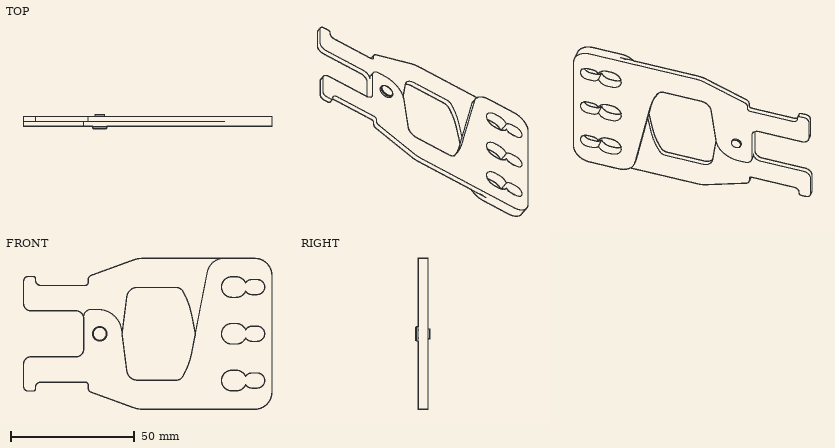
import cadquery as cq
import math

PLATE_THICKNESS = 2.0
LENGTH = 101.0
HALF_HEIGHT = 30.7
BODY_RADIUS = 7.1

FINGER_INNER_Z = -9.3
FINGER_OUTER_Z = -19.7
HOOK_TIP_Z = -23.3
HOOK_WIDTH = 4.9
FINGER_RADIUS = 3.0
HOOK_RADIUS = 2.0
SHARP_RADIUS = 1.0

SHOULDER_X = 26.3
SHOULDER_ANGLE = 20.0
SHOULDER_RADIUS = 2.0
SHOULDER_END_RADIUS = 10.1

EAR_X = 24.4
EAR_TOP_Z = 9.9
EAR_RADIUS = 9.7

WINDOW_LEFT_X = 40.1
WINDOW_RIGHT_X = 69.8
WINDOW_FLOOR_Z = -18.8
WINDOW_LEFT_ANGLE = 7.3
WINDOW_RIGHT_ANGLE = 11.0
WINDOW_HEEL_ANGLE = 30.0
WINDOW_HEEL_Z = -12.8
WINDOW_HEEL_RADIUS = 30.3
WINDOW_RIGHT_RADIUS = 3.0
WINDOW_LEFT_RADIUS = 4.2

KEYHOLE_PITCH = 19.0
WIDE_SLOT_START = 80.5
WIDE_SLOT_END = 90.6
WIDE_SLOT_HEIGHT = 8.3
NARROW_SLOT_START = 89.8
NARROW_SLOT_END = 98.0
NARROW_SLOT_HEIGHT = 6.1

RIVET_X = 31.0
FRONT_HEAD_DIAMETER = 5.9
FRONT_HEAD_HEIGHT = 1.0
FRONT_HEAD_CHAMFER = 0.3
BACK_HEAD_DIAMETER = 4.0
BACK_HEAD_HEIGHT = 0.7


def slope(angle):
    return math.tan(math.radians(angle))


def jaw_corners():
    """Corners of the lower jaw as (x, z, radius), counterclockwise from the finger."""
    shoulder_end_x = SHOULDER_X + (HALF_HEIGHT + HOOK_TIP_Z) / slope(SHOULDER_ANGLE)
    window_top_x = WINDOW_RIGHT_X + HALF_HEIGHT * slope(WINDOW_RIGHT_ANGLE)
    heel_x = WINDOW_RIGHT_X + WINDOW_HEEL_Z * slope(WINDOW_RIGHT_ANGLE)
    floor_right_x = heel_x - (WINDOW_HEEL_Z - WINDOW_FLOOR_Z) * slope(WINDOW_HEEL_ANGLE)
    floor_left_x = WINDOW_LEFT_X - WINDOW_FLOOR_Z * slope(WINDOW_LEFT_ANGLE)
    ear_right_x = WINDOW_LEFT_X - EAR_TOP_Z * slope(WINDOW_LEFT_ANGLE)
    return [
        (0, FINGER_INNER_Z, FINGER_RADIUS),
        (0, HOOK_TIP_Z, HOOK_RADIUS),
        (HOOK_WIDTH, HOOK_TIP_Z, SHARP_RADIUS),
        (HOOK_WIDTH, FINGER_OUTER_Z, HOOK_RADIUS),
        (SHOULDER_X, FINGER_OUTER_Z, SHARP_RADIUS),
        (SHOULDER_X, HOOK_TIP_Z, SHOULDER_RADIUS),
        (shoulder_end_x, -HALF_HEIGHT, SHOULDER_END_RADIUS),
        (LENGTH, -HALF_HEIGHT, BODY_RADIUS),
        (LENGTH, HALF_HEIGHT, BODY_RADIUS),
        (window_top_x, HALF_HEIGHT, BODY_RADIUS),
        (heel_x, WINDOW_HEEL_Z, WINDOW_HEEL_RADIUS),
        (floor_right_x, WINDOW_FLOOR_Z, WINDOW_RIGHT_RADIUS),
        (floor_left_x, WINDOW_FLOOR_Z, WINDOW_LEFT_RADIUS),
        (ear_right_x, EAR_TOP_Z, EAR_RADIUS),
        (EAR_X, EAR_TOP_Z, FINGER_RADIUS),
        (EAR_X, FINGER_INNER_Z, FINGER_RADIUS),
    ]


def corner_arc(before, corner, after, radius):
    """Start, middle and end of the arc that rounds a corner."""
    point = cq.Vector(*corner)
    to_before = (cq.Vector(*before) - point).normalized()
    to_after = (cq.Vector(*after) - point).normalized()
    half_angle = to_before.getAngle(to_after) / 2
    setback = radius / math.tan(half_angle)
    middle_distance = radius / math.sin(half_angle) - radius
    bisector = (to_before + to_after).normalized()
    return (
        point + to_before * setback,
        point + bisector * middle_distance,
        point + to_after * setback,
    )


def rounded_outline(corners):
    """Closed XZ wire through the corners, each rounded to its own radius."""
    points = [(x, z) for x, z, _ in corners]
    count = len(points)
    arcs = []
    for i, (_, _, radius) in enumerate(corners):
        arcs.append(corner_arc(points[i - 1], points[i], points[(i + 1) % count], radius))

    outline = cq.Workplane("XZ").moveTo(arcs[0][0].x, arcs[0][0].y)
    for start, middle, end in arcs:
        if start != arcs[0][0]:
            outline = outline.lineTo(start.x, start.y)
        outline = outline.threePointArc((middle.x, middle.y), (end.x, end.y))
    return outline.close()


def slot_cutter(start, end, height):
    """Horizontal slots through one plate, one per keyhole."""
    return (
        cq.Workplane("XZ")
        .pushPoints([((start + end) / 2, row * KEYHOLE_PITCH) for row in (-1, 0, 1)])
        .slot2D(end - start, height)
        .extrude(PLATE_THICKNESS)
    )


def jaw():
    """Lower jaw, in front of the contact plane."""
    plate = rounded_outline(jaw_corners()).extrude(PLATE_THICKNESS)
    plate = plate.cut(slot_cutter(WIDE_SLOT_START, WIDE_SLOT_END, WIDE_SLOT_HEIGHT))
    return plate.cut(slot_cutter(NARROW_SLOT_START, NARROW_SLOT_END, NARROW_SLOT_HEIGHT))


def rivet():
    """Rivet heads on the outer faces, both growing outward from the plates."""
    front_head = (
        cq.Workplane("XZ", origin=(RIVET_X, -PLATE_THICKNESS, 0))
        .circle(FRONT_HEAD_DIAMETER / 2)
        .extrude(FRONT_HEAD_HEIGHT)
        .faces("<Y")
        .chamfer(FRONT_HEAD_CHAMFER)
    )
    back_head = (
        cq.Workplane("XZ", origin=(RIVET_X, PLATE_THICKNESS, 0))
        .circle(BACK_HEAD_DIAMETER / 2)
        .extrude(-BACK_HEAD_HEIGHT)
    )
    return front_head.union(back_head)


lower_jaw = jaw()
upper_jaw = lower_jaw.rotate((0, 0, 0), (1, 0, 0), 180)
result = lower_jaw.union(upper_jaw, clean=False).union(rivet(), clean=False)